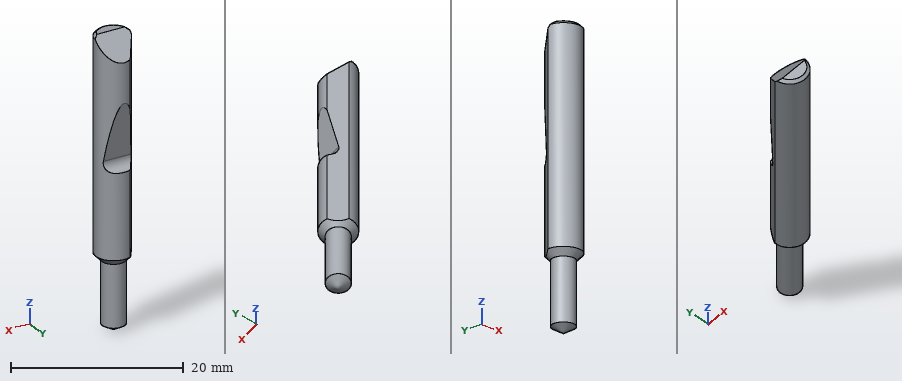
import cadquery as cq
import math

total_length = 38.1
body_radius = 2.38
pin_radius = 1.52
tip_angle = 120.0
neck_bottom = 9.05
neck_height = 0.88
top_chamfer = 0.4

flat_offset = 2.02
flat_angle = 144.0

bevel_start_y = -0.57

notch_top = 29.95
notch_bottom = 21.1
notch_corner_radius = 1.22
notch_slope = 9.6

cut_margin = 1.9
cut_width = 2 * (body_radius + cut_margin)


def turned_blank():
    """Body, conical neck, pin and pointed tip, revolved about Z."""
    tip_height = pin_radius / math.tan(math.radians(tip_angle / 2))
    return (
        cq.Workplane("XZ")
        .moveTo(0, 0)
        .lineTo(pin_radius, tip_height)
        .lineTo(pin_radius, neck_bottom)
        .lineTo(body_radius, neck_bottom + neck_height)
        .lineTo(body_radius, total_length - top_chamfer)
        .lineTo(body_radius - top_chamfer, total_length)
        .lineTo(0, total_length)
        .close()
        .revolve(360, (0, 0, 0), (0, 1, 0))
    )


def flat_cutter():
    """Block that leaves the lengthwise flat on the body."""
    return (
        cq.Workplane("XY")
        .box(cut_width, cut_width, total_length, centered=(False, True, False))
        .translate((flat_offset, 0, neck_bottom))
        .rotate((0, 0, 0), (0, 0, 1), flat_angle)
    )


def bevel_cutter():
    """Wedge that bevels the top end at 45 degrees towards +Y."""
    outer_y = body_radius + cut_margin
    bevel_drop = outer_y - bevel_start_y
    return (
        cq.Workplane("YZ")
        .moveTo(bevel_start_y, total_length)
        .lineTo(outer_y, total_length)
        .lineTo(outer_y, total_length - bevel_drop)
        .close()
        .extrude(cut_width / 2, both=True)
    )


def notch_cutter():
    """Ramped notch on +Y with a rounded inner corner."""
    slope = math.radians(notch_slope)
    outer_y = body_radius + cut_margin
    ramp_depth = (notch_top - notch_bottom) * math.tan(slope)
    outer_top = notch_top + cut_margin / math.tan(slope)
    return (
        cq.Workplane("YZ")
        .moveTo(body_radius - ramp_depth, notch_bottom)
        .lineTo(outer_y, notch_bottom)
        .lineTo(outer_y, outer_top)
        .close()
        .extrude(cut_width / 2, both=True)
        .edges("|X and <Y")
        .fillet(notch_corner_radius)
    )


result = (
    turned_blank()
    .cut(flat_cutter())
    .cut(bevel_cutter())
    .cut(notch_cutter())
)